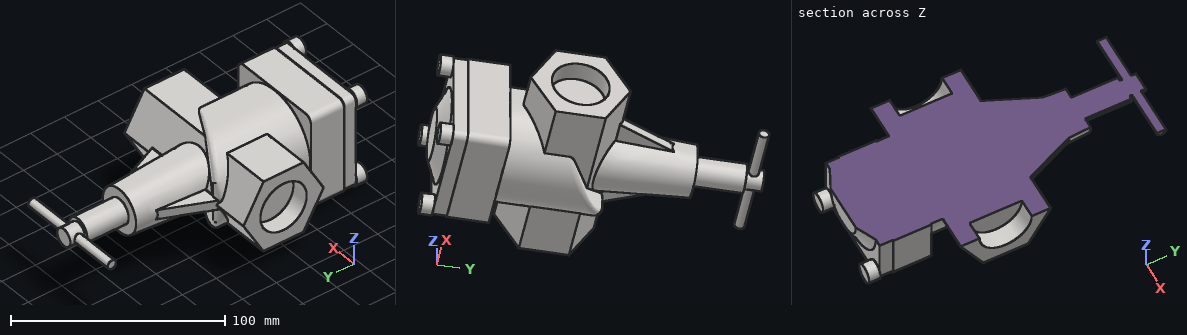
import cadquery as cq
import math


port_length = 90.0
hex_across_flats = 41.2
port_bore_diameter = 27.4
port_bore_depth = 10.0

barrel_diameter = 54.0
barrel_flat_y = 23.2
end_plane_angle = 29.0
end_plane_axis_y = 11.4
end_edge_radius = 2.5

flange_size = 55.0
flange_near_y = -30.0
flange_thickness = 20.0
cover_size = 54.0
cover_thickness = 7.0
flange_corner_radius = 4.0
dome_base_diameter = 46.0
dome_top_diameter = 25.4
dome_height = 5.0
screw_head_diameter = 10.0
screw_head_height = 6.0
screw_spacing = 46.05

bonnet_end_y = 62.0
bonnet_end_diameter = 25.2
bonnet_root_diameter = 33.0
rib_thickness = 5.4
rib_top_y = 51.5
rib_foot_y = 22.5
rib_foot_half_width = 25.4

spindle_diameter = 14.0
spindle_end_y = 86.5
tip_diameter = 10.0
tip_end_y = 95.0
handle_diameter = 5.0
handle_length = 60.0
handle_y = 90.0

cover_corner_radius = flange_corner_radius - (flange_size - cover_size) / 2
flange_far_y = flange_near_y - flange_thickness
cover_far_y = flange_far_y - cover_thickness


def plane_across_y(y):
    """Plane at height y on the spindle axis, facing +Y."""
    return cq.Workplane("XZ", origin=(0, y, 0)).transformed(rotate=(180, 0, 0))


def rod_along_y(diameter, start_y, end_y):
    return plane_across_y(start_y).circle(diameter / 2).extrude(end_y - start_y)


def taper_along_y(start_diameter, start_y, end_diameter, end_y):
    """Solid cone frustum about the spindle axis."""
    profile = [
        (start_y, 0),
        (start_y, start_diameter / 2),
        (end_y, end_diameter / 2),
        (end_y, 0),
    ]
    return cq.Workplane("YZ").polyline(profile).close().revolve(360, (0, 0), (1, 0))


def square_plate(size, corner_radius, start_y, end_y):
    plate = plane_across_y(start_y).rect(size, size).extrude(end_y - start_y)
    return plate.edges("|Y").fillet(corner_radius)


def make_ports():
    """Hexagonal bar along X with two corners pointing along Y."""
    across_corners = hex_across_flats / math.cos(math.radians(30))
    return (
        cq.Workplane("YZ", origin=(-port_length / 2, 0, 0))
        .polygon(6, across_corners)
        .extrude(port_length)
    )


def cut_port_bores(body):
    for side in (-1, 1):
        bore = (
            cq.Workplane("YZ", origin=(side * port_length / 2, 0, 0))
            .circle(port_bore_diameter / 2)
            .extrude(-side * port_bore_depth)
        )
        body = body.cut(bore)
    return body


def make_barrel():
    """Round barrel whose +Y end is partly flat, partly sloping, with a rounded rim."""
    radius = barrel_diameter / 2
    slope = math.tan(math.radians(end_plane_angle))
    outline = [
        (-radius, flange_near_y),
        (radius, flange_near_y),
        (radius, end_plane_axis_y - radius * slope),
        ((end_plane_axis_y - barrel_flat_y) / slope, barrel_flat_y),
        (-radius, barrel_flat_y),
    ]
    envelope = cq.Workplane("XY").polyline(outline).close().extrude(radius, both=True)
    barrel = rod_along_y(barrel_diameter, flange_near_y, barrel_flat_y).intersect(envelope)
    rim = barrel.edges("%ELLIPSE or (%CIRCLE and (not <Y))")
    return rim.fillet(end_edge_radius)


def make_ribs():
    """Triangular gusset plate spanning both sides of the bonnet."""
    outline = [
        (-rib_foot_half_width, rib_foot_y),
        (rib_foot_half_width, rib_foot_y),
        (bonnet_end_diameter / 2, rib_top_y),
        (-bonnet_end_diameter / 2, rib_top_y),
    ]
    return cq.Workplane("XY").polyline(outline).close().extrude(rib_thickness / 2, both=True)


def make_screw_heads():
    return (
        plane_across_y(cover_far_y - screw_head_height)
        .rect(screw_spacing, screw_spacing, forConstruction=True)
        .vertices()
        .circle(screw_head_diameter / 2)
        .extrude(screw_head_height)
    )


def make_handle():
    return (
        cq.Workplane("YZ", origin=(-handle_length / 2, handle_y, 0))
        .circle(handle_diameter / 2)
        .extrude(handle_length)
    )


def make_dome():
    """Flat-topped cone on the outside of the cover."""
    dome_far_y = cover_far_y - dome_height
    return taper_along_y(dome_top_diameter, dome_far_y, dome_base_diameter, cover_far_y)


def make_bonnet():
    """Tapered neck that grows out of the port bar and ends in a flat face."""
    return taper_along_y(bonnet_root_diameter, 0, bonnet_end_diameter, bonnet_end_y)


def make_spindle():
    spindle = rod_along_y(spindle_diameter, bonnet_end_y, spindle_end_y)
    return spindle.union(rod_along_y(tip_diameter, spindle_end_y, tip_end_y))


valve = make_ports().union(make_barrel())
valve = valve.union(square_plate(flange_size, flange_corner_radius, flange_far_y, flange_near_y))
valve = valve.union(square_plate(cover_size, cover_corner_radius, cover_far_y, flange_far_y))
valve = valve.union(make_dome())
valve = valve.union(make_screw_heads())
valve = valve.union(make_bonnet())
valve = valve.union(make_ribs())
valve = valve.union(make_spindle())
valve = valve.union(make_handle())

result = cut_port_bores(valve)